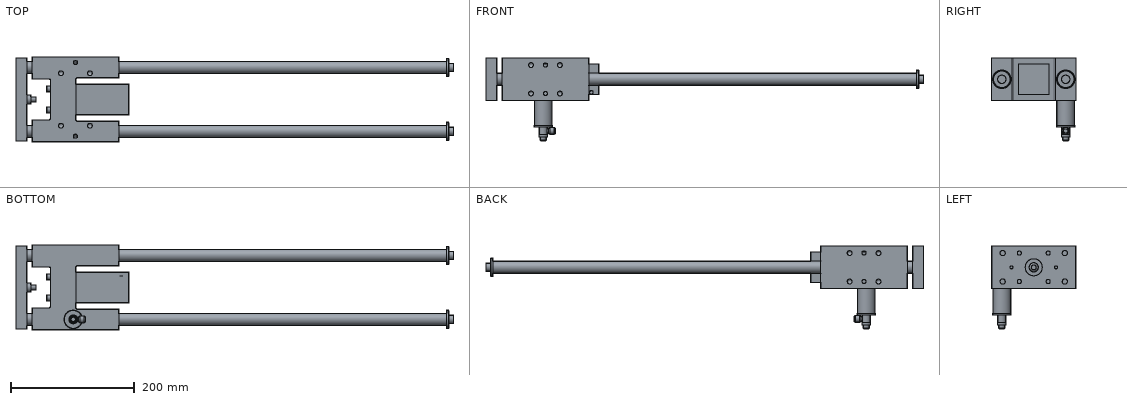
import cadquery as cq
import math

TOTAL_LENGTH = 706.0
BODY_WIDTH = 137.0
BODY_HEIGHT = 69.0
TOTAL_HEIGHT = 134.0

PLATE_THICKNESS = 18.0
PLATE_WIDTH = 134.0
PLATE_BORE_DIAMETER = 27.5
PLATE_BORE_DEPTH = 14.0
PLATE_HOLE_DEPTH = 11.0
CORNER_HOLE_DIAMETER = 8.5
CORNER_HOLE_Y = 50.0
INNER_HOLE_DIAMETER = 6.65
INNER_HOLE_Y = 23.0
SIDE_HOLE_DIAMETER = 5.0
SIDE_HOLE_Y = 36.0
HOLE_ROW_Z = 22.95

STUD_HEAD_DIAMETER = 15.0
STUD_TIP_DIAMETER = 8.0
STUD_COLLAR_LENGTH = 6.0
STUD_TIP_HEIGHT = 3.5
STUD_HEAD_LENGTH = 6.5
STUD_SHANK_DIAMETER = 8.5
STUD_SHANK_LENGTH = 8.5

ROD_DIAMETER = 20.0
ROD_Y = 51.5
STOP_DIAMETER = 30.0
STOP_THICKNESS = 4.0
STOP_CHAMFER = 1.5
ROD_TIP_DIAMETER = 13.5
ROD_TIP_LENGTH = 7.0

BODY_FRONT = 26.0
BODY_LENGTH = 140.0
FRONT_POCKET_WIDTH = 66.0
FRONT_POCKET_DEPTH = 30.0
REAR_POCKET_WIDTH = 70.0
REAR_POCKET_DEPTH = 69.0
POCKET_CORNER_RADIUS = 2.5

BLOCK_SIDE = 49.5
BLOCK_END = 182.0
BORE_DIAMETER = 37.0
PORT_DIAMETER = 6.0
PORT_X = 170.0
PORT_Z = -21.0
PORT_DEPTH = 6.5

MOUNT_HOLE_DIAMETER = 8.0
PIN_HOLE_DIAMETER = 6.5
MOUNT_HOLE_DEPTH = 10.0
MOUNT_HOLE_PITCH = 46.5
TOP_HOLE_Y = 42.5
TOP_PIN_HOLE_Y = 59.0
DRILL_POINT_ANGLE = 118.0

WEB_FITTING_DIAMETER = 10.0
WEB_FITTING_LENGTH = 6.5
WEB_FITTING_Y = 17.0
WEB_FITTING_Z = 17.0

LOCK_X = 92.5
LOCK_DIAMETER = 29.0
LOCK_LENGTH = 42.5
LOCK_RIM_DIAMETER = 30.0
LOCK_RIM_HEIGHT = 2.0
STEM_DIAMETER = 13.5
STEM_RIM_DIAMETER = 14.0
STEM_RIM_HEIGHT = 4.0
STEM_LENGTH = 16.0
STEM_TIP_DIAMETER = 10.0
STEM_TIP_CHAMFER = 1.5
LOCK_FITTING_DIAMETER = 11.0
LOCK_FITTING_NECK_DIAMETER = 7.0
LOCK_FITTING_LENGTH = 11.0
LOCK_FITTING_CHAMFER = 2.0
LOCK_FITTING_REACH = 20.0
LOCK_FITTING_DROP = 6.5

REARWARD = (1, 0, 0)
FORWARD = (-1, 0, 0)
DOWN = (0, 0, -1)

BODY_END = BODY_FRONT + BODY_LENGTH
WEB_FRONT = BODY_FRONT + FRONT_POCKET_DEPTH
WEB_REAR = BODY_END - REAR_POCKET_DEPTH
BODY_BOTTOM = -BODY_HEIGHT / 2


def box(x_start, x_end, width, height):
    """Box centred on the X axis between two X positions."""
    return cq.Workplane("XY").box(x_end - x_start, width, height).translate(((x_start + x_end) / 2, 0, 0))


def cylinder(diameter, length, start, direction):
    return cq.Workplane(cq.Solid.makeCylinder(diameter / 2, length, cq.Vector(*start), cq.Vector(*direction)))


def drilled_hole(diameter, depth, start, direction):
    """Cutter for a blind hole that ends in a conical drill point."""
    point_height = diameter / 2 / math.tan(math.radians(DRILL_POINT_ANGLE / 2))
    axis = cq.Vector(*direction)
    point_start = cq.Vector(*start) + axis * depth
    point = cq.Solid.makeCone(diameter / 2, 0, point_height, point_start, axis)
    return cylinder(diameter, depth, start, direction).union(cq.Workplane(point))


def plate():
    shape = box(0, PLATE_THICKNESS, PLATE_WIDTH, BODY_HEIGHT)
    shape = shape.cut(cylinder(PLATE_BORE_DIAMETER, PLATE_BORE_DEPTH, (0, 0, 0), REARWARD))
    for side in (-1, 1):
        side_hole = (0, side * SIDE_HOLE_Y, 0)
        shape = shape.cut(cylinder(SIDE_HOLE_DIAMETER, PLATE_HOLE_DEPTH, side_hole, REARWARD))
        for z in (-HOLE_ROW_Z, HOLE_ROW_Z):
            corner_hole = (0, side * CORNER_HOLE_Y, z)
            inner_hole = (0, side * INNER_HOLE_Y, z)
            shape = shape.cut(cylinder(CORNER_HOLE_DIAMETER, PLATE_HOLE_DEPTH, corner_hole, REARWARD))
            shape = shape.cut(cylinder(INNER_HOLE_DIAMETER, PLATE_HOLE_DEPTH, inner_hole, REARWARD))
    return shape


def coupling_stud():
    """Stud on the plate axis: collar and conical tip in the plate bore, head and shank behind the plate."""
    cone = cq.Solid.makeCone(
        STUD_HEAD_DIAMETER / 2,
        STUD_TIP_DIAMETER / 2,
        STUD_TIP_HEIGHT,
        cq.Vector(PLATE_BORE_DEPTH - STUD_COLLAR_LENGTH, 0, 0),
        cq.Vector(*FORWARD),
    )
    collar = cylinder(STUD_HEAD_DIAMETER, STUD_COLLAR_LENGTH, (PLATE_BORE_DEPTH, 0, 0), FORWARD)
    head = cylinder(STUD_HEAD_DIAMETER, STUD_HEAD_LENGTH, (PLATE_THICKNESS, 0, 0), REARWARD)
    shank_length = STUD_HEAD_LENGTH + STUD_SHANK_LENGTH
    shank = cylinder(STUD_SHANK_DIAMETER, shank_length, (PLATE_THICKNESS, 0, 0), REARWARD)
    return collar.union(cq.Workplane(cone)).union(head).union(shank)


def rod(y):
    """Guide rod from the plate to its end stop and threaded tip."""
    stop_end = TOTAL_LENGTH - ROD_TIP_LENGTH
    stop_start = stop_end - STOP_THICKNESS
    shaft = cylinder(ROD_DIAMETER, stop_end - PLATE_THICKNESS, (PLATE_THICKNESS, y, 0), REARWARD)
    stop = cylinder(STOP_DIAMETER, STOP_THICKNESS, (stop_start, y, 0), REARWARD)
    stop = stop.faces(">X").chamfer(STOP_CHAMFER)
    tip = cylinder(ROD_TIP_DIAMETER, ROD_TIP_LENGTH, (stop_end, y, 0), REARWARD)
    return shaft.union(stop).union(tip)


def make_slide():
    shape = plate().union(coupling_stud())
    for side in (-1, 1):
        shape = shape.union(rod(side * ROD_Y))
    return shape


def h_body():
    shape = box(BODY_FRONT, BODY_END, BODY_WIDTH, BODY_HEIGHT)
    front_pocket = box(BODY_FRONT, WEB_FRONT, FRONT_POCKET_WIDTH, BODY_HEIGHT)
    rear_pocket = box(WEB_REAR, BODY_END, REAR_POCKET_WIDTH, BODY_HEIGHT)
    front_pocket = front_pocket.edges("|Z and >X").fillet(POCKET_CORNER_RADIUS)
    rear_pocket = rear_pocket.edges("|Z and <X").fillet(POCKET_CORNER_RADIUS)
    return shape.cut(front_pocket).cut(rear_pocket)


def rear_block():
    shape = box(WEB_REAR, BLOCK_END, BLOCK_SIDE, BLOCK_SIDE)
    port = drilled_hole(PORT_DIAMETER, PORT_DEPTH, (PORT_X, -BLOCK_SIDE / 2, PORT_Z), (0, 1, 0))
    return shape.cut(port)


def mounting_holes():
    """Cutters for the drilled mounting holes and flat pin holes in both sides and in the top."""
    cutters = []
    center_x = BODY_FRONT + BODY_LENGTH / 2
    top = BODY_HEIGHT / 2
    for side in (-1, 1):
        inward = (0, -side, 0)
        side_y = side * BODY_WIDTH / 2
        for x in (center_x - MOUNT_HOLE_PITCH / 2, center_x + MOUNT_HOLE_PITCH / 2):
            for z in (-HOLE_ROW_Z, HOLE_ROW_Z):
                cutters.append(drilled_hole(MOUNT_HOLE_DIAMETER, MOUNT_HOLE_DEPTH, (x, side_y, z), inward))
            top_hole = (x, side * TOP_HOLE_Y, top)
            cutters.append(drilled_hole(MOUNT_HOLE_DIAMETER, MOUNT_HOLE_DEPTH, top_hole, DOWN))
        for z in (-HOLE_ROW_Z, HOLE_ROW_Z):
            cutters.append(cylinder(PIN_HOLE_DIAMETER, MOUNT_HOLE_DEPTH, (center_x, side_y, z), inward))
        top_pin_hole = (center_x, side * TOP_PIN_HOLE_Y, top)
        cutters.append(cylinder(PIN_HOLE_DIAMETER, MOUNT_HOLE_DEPTH, top_pin_hole, DOWN))
    return cutters


def rimmed_cylinder(diameter, length, rim_diameter, rim_height, top_z):
    """Cylinder hanging down on the lock axis, with a slightly wider rim at its lower end."""
    shaft = cylinder(diameter, length, (LOCK_X, ROD_Y, top_z), DOWN)
    rim = cylinder(rim_diameter, rim_height, (LOCK_X, ROD_Y, top_z - length + rim_height), DOWN)
    return shaft.union(rim)


def locking_unit():
    """Round lock under one arm, with a stepped stem and a side fitting."""
    lock_bottom = BODY_BOTTOM - LOCK_LENGTH
    tip_length = TOTAL_HEIGHT - BODY_HEIGHT - LOCK_LENGTH
    barrel = rimmed_cylinder(LOCK_DIAMETER, LOCK_LENGTH, LOCK_RIM_DIAMETER, LOCK_RIM_HEIGHT, BODY_BOTTOM)
    stem = rimmed_cylinder(STEM_DIAMETER, STEM_LENGTH, STEM_RIM_DIAMETER, STEM_RIM_HEIGHT, lock_bottom)
    tip = cylinder(STEM_TIP_DIAMETER, tip_length, (LOCK_X, ROD_Y, lock_bottom), DOWN)
    tip = tip.faces("<Z").chamfer(STEM_TIP_CHAMFER)
    fitting_z = lock_bottom - LOCK_FITTING_DROP
    head_start = (LOCK_X + LOCK_FITTING_REACH - LOCK_FITTING_LENGTH, ROD_Y, fitting_z)
    neck = cylinder(LOCK_FITTING_NECK_DIAMETER, LOCK_FITTING_REACH, (LOCK_X, ROD_Y, fitting_z), REARWARD)
    head = cylinder(LOCK_FITTING_DIAMETER, LOCK_FITTING_LENGTH, head_start, REARWARD)
    head = head.faces("<X or >X").chamfer(LOCK_FITTING_CHAMFER)
    return barrel.union(stem).union(tip).union(neck).union(head)


def make_housing():
    shape = h_body().union(rear_block()).union(locking_unit())
    for side in (-1, 1):
        rod_start = (BODY_FRONT, side * ROD_Y, 0)
        shape = shape.cut(cylinder(ROD_DIAMETER, BODY_LENGTH, rod_start, REARWARD))
        fitting_start = (WEB_FRONT, side * WEB_FITTING_Y, WEB_FITTING_Z)
        web_fitting = cylinder(WEB_FITTING_DIAMETER, WEB_FITTING_LENGTH, fitting_start, FORWARD)
        shape = shape.union(web_fitting)
    shape = shape.cut(cylinder(BORE_DIAMETER, WEB_REAR - WEB_FRONT, (WEB_FRONT, 0, 0), REARWARD))
    for cutter in mounting_holes():
        shape = shape.cut(cutter)
    return shape


housing = make_housing()
slide = make_slide()
result = cq.Compound.makeCompound([housing.val(), slide.val()])